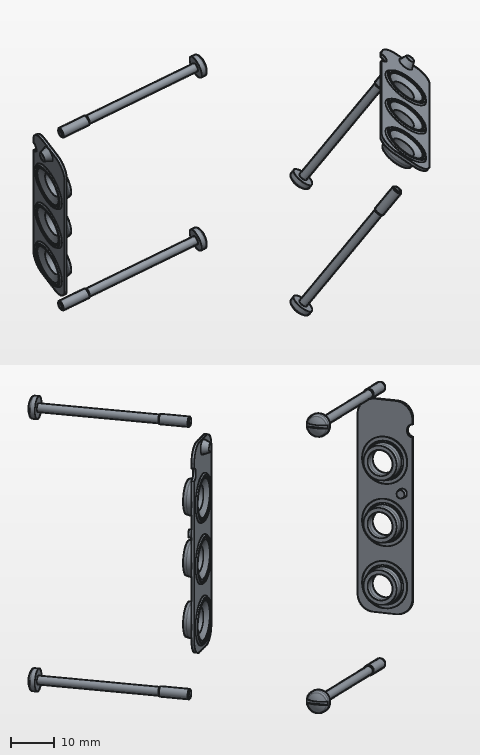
import cadquery as cq


PLATE_WIDTH = 13.8
PLATE_HEIGHT = 51.3
PLATE_THICKNESS = 0.7
PLATE_CENTER_Z = 3.8
CORNER_RADIUS = 4.0
NOTCH_RADIUS = 1.6
NOTCH_DEPTH = 1.4
NOTCH_Z = 22.7

BUSHING_PITCH = 15.0
BUSHING_COUNT = 3
BORE_DIAMETER = 6.0
BORE_EXIT_DIAMETER = 6.3
SEAT_DIAMETER = 9.4
SEAT_DEPTH = 0.8
RECESS_DIAMETER = 10.3
RECESS_DEPTH = 0.2
LIP_DIAMETER = 11.1
LIP_BASE_DIAMETER = 11.8
LIP_HEIGHT = 0.4
FLANGE_DIAMETER = 11.4
FLANGE_HEIGHT = 0.2
COLLAR_FOOT_DIAMETER = 9.5
COLLAR_FOOT_HEIGHT = 0.2
COLLAR_DIAMETER = 8.8
COLLAR_TIP_DIAMETER = 8.35
COLLAR_LENGTH = 2.9
COLLAR_TAPER_LENGTH = 0.9

PEG_BASE_DIAMETER = 3.75
PEG_TIP_DIAMETER = 2.2
PEG_LENGTH = 1.8
PEG_Z = 27.4
PIN_BASE_DIAMETER = 2.2
PIN_TIP_DIAMETER = 2.0
PIN_LENGTH = 1.2
PIN_X = -4.5
PIN_Z = BUSHING_PITCH / 2

HEAD_DIAMETER = 5.5
OVERALL_HEIGHT = 72.0
SCREW_Z = (OVERALL_HEIGHT - HEAD_DIAMETER) / 2
SCREW_TIP_Y = 3.1
THREAD_DIAMETER = 2.5
THREAD_LENGTH = 7.5
THREAD_CHAMFER = 0.3
SHANK_DIAMETER = 2.15
SCREW_LENGTH = 36.9
HEAD_RIM_HEIGHT = 1.15
HEAD_HEIGHT = 2.2
DOME_DIAMETER = 4.75
DOME_HEIGHT = 0.65
HEAD_CORNER_BULGE = 0.1
SLOT_WIDTH = 0.8
SLOT_DEPTH = 0.9


def revolve_about_y(profile):
    """Turn a closed (radius, y) profile once around the Y axis."""
    return profile.close().revolve(360, (0, 0, 0), (0, 1, 0))


def make_plate_blank():
    """Rounded plate with a round-bottomed notch in its -X edge."""
    blank = (
        cq.Workplane("XZ")
        .center(0, PLATE_CENTER_Z)
        .rect(PLATE_WIDTH, PLATE_HEIGHT)
        .extrude(-PLATE_THICKNESS)
        .edges("|Y")
        .fillet(CORNER_RADIUS)
    )
    notch = (
        cq.Workplane("XZ")
        .center(NOTCH_DEPTH - NOTCH_RADIUS - PLATE_WIDTH / 2, NOTCH_Z)
        .circle(NOTCH_RADIUS)
        .extrude(-PLATE_THICKNESS)
    )
    return blank.cut(notch)


def make_bushing():
    """Ring with a front lip, a conical seat, a bore that flares at the back and a rear collar."""
    bore = BORE_DIAMETER / 2
    seat = SEAT_DIAMETER / 2
    floor_y = RECESS_DEPTH - LIP_HEIGHT
    flange_y = PLATE_THICKNESS + FLANGE_HEIGHT
    collar_y = PLATE_THICKNESS + COLLAR_LENGTH
    taper_y = collar_y - COLLAR_TAPER_LENGTH
    return revolve_about_y(
        cq.Workplane("XY")
        .moveTo(bore, SEAT_DEPTH)
        .lineTo(seat, floor_y)
        .lineTo(RECESS_DIAMETER / 2, floor_y)
        .lineTo(LIP_DIAMETER / 2, -LIP_HEIGHT)
        .lineTo(LIP_BASE_DIAMETER / 2, 0)
        .lineTo(FLANGE_DIAMETER / 2, PLATE_THICKNESS)
        .lineTo(FLANGE_DIAMETER / 2, flange_y)
        .lineTo(COLLAR_FOOT_DIAMETER / 2, flange_y)
        .lineTo(COLLAR_DIAMETER / 2, flange_y + COLLAR_FOOT_HEIGHT)
        .lineTo(COLLAR_DIAMETER / 2, taper_y)
        .lineTo(COLLAR_TIP_DIAMETER / 2, collar_y)
        .lineTo(BORE_EXIT_DIAMETER / 2, collar_y)
        .lineTo(bore, taper_y)
    )


def make_tapered_stud(base_diameter, tip_diameter, base_y, tip_y):
    """Round stud on the Y axis that narrows from its base to its tip."""
    return revolve_about_y(
        cq.Workplane("XY")
        .moveTo(0, base_y)
        .lineTo(base_diameter / 2, base_y)
        .lineTo(tip_diameter / 2, tip_y)
        .lineTo(0, tip_y)
    )


def make_peg():
    """Tapered peg standing on the front face."""
    peg = make_tapered_stud(PEG_BASE_DIAMETER, PEG_TIP_DIAMETER, 0, -PEG_LENGTH)
    return peg.translate((0, 0, PEG_Z))


def make_pin():
    """Small tapered pin standing on the back face."""
    tip_y = PLATE_THICKNESS + PIN_LENGTH
    pin = make_tapered_stud(PIN_BASE_DIAMETER, PIN_TIP_DIAMETER, PLATE_THICKNESS, tip_y)
    return pin.translate((PIN_X, 0, PIN_Z))


def make_plate():
    plate = make_plate_blank()
    bushing = make_bushing()
    for index in range(BUSHING_COUNT):
        z = (index - (BUSHING_COUNT - 1) / 2) * BUSHING_PITCH
        opening = (
            cq.Workplane("XZ")
            .center(0, z)
            .circle(COLLAR_DIAMETER / 2)
            .extrude(-PLATE_THICKNESS)
        )
        plate = plate.cut(opening).union(bushing.translate((0, 0, z)))
    return plate.union(make_peg()).union(make_pin())


def make_screw():
    """Slotted screw along Y with its tip at Y = 0 and its head at +Y."""
    thread = THREAD_DIAMETER / 2
    shank = SHANK_DIAMETER / 2
    head = HEAD_DIAMETER / 2
    dome = DOME_DIAMETER / 2
    rim_y = SCREW_LENGTH + HEAD_RIM_HEIGHT
    top_y = SCREW_LENGTH + HEAD_HEIGHT
    dome_y = top_y - DOME_HEIGHT
    dome_sphere_radius = (dome**2 + DOME_HEIGHT**2) / (2 * DOME_HEIGHT)
    body = revolve_about_y(
        cq.Workplane("XY")
        .lineTo(thread - THREAD_CHAMFER, 0)
        .lineTo(thread, THREAD_CHAMFER)
        .lineTo(thread, THREAD_LENGTH - THREAD_CHAMFER)
        .lineTo(shank, THREAD_LENGTH)
        .lineTo(shank, SCREW_LENGTH)
        .lineTo(head, SCREW_LENGTH)
        .lineTo(head, rim_y)
        .sagittaArc((dome, dome_y), -HEAD_CORNER_BULGE)
        .radiusArc((0, top_y), -dome_sphere_radius)
    )
    slot = cq.Workplane("XY").box(HEAD_DIAMETER, 2 * SLOT_DEPTH, SLOT_WIDTH).translate((0, top_y, 0))
    return body.cut(slot)


plate = make_plate()
screws = [make_screw().translate((0, SCREW_TIP_Y, side * SCREW_Z)) for side in (1, -1)]

result = cq.Compound.makeCompound([plate.val(), *[screw.val() for screw in screws]])